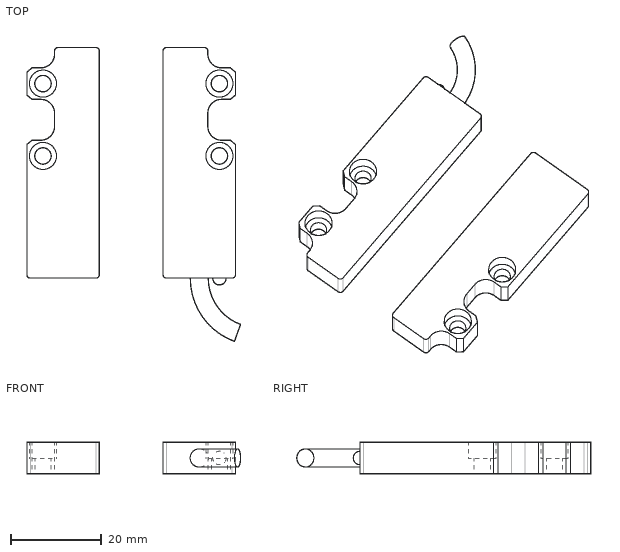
import cadquery as cq
import math

overall_length = 65.0
block_width = 16.05
block_height = 7.0
block_gap = 14.05
corner_radius = 0.8

neck_inset = 6.1
tab_length = 7.0
tab_pitch = 16.0
end_notch_length = 4.5
notch_radius = 3.0
tab_chamfer_x = 1.2
tab_chamfer_y = 1.0

hole_inset = 3.6
hole_diameter = 3.6
counterbore_diameter = 6.0
counterbore_depth = 3.6

cable_diameter = 4.0
cable_bend_radius = 12.9
cable_bend_angle = 70.0
dome_radius = 1.5

bend = math.radians(cable_bend_angle)
cable_reach = (cable_bend_radius + cable_diameter / 2) * math.sin(bend)
block_length = overall_length - cable_reach
tab_1_top = block_length - end_notch_length
tab_1_bottom = tab_1_top - tab_length
tab_2_top = tab_1_top - tab_pitch
tab_1_middle = tab_1_top - tab_length / 2
hole_places = [(hole_inset, tab_1_middle - i * tab_pitch) for i in range(2)]
mid_height = block_height / 2
sensor_outer_side = 2 * block_width + block_gap


def round_upright_edges(block, places, radius):
    """Round the upright edges that stand at the given XY places."""
    for x, y in places:
        edge = cq.selectors.NearestToPointSelector((x, y, mid_height))
        block = block.edges("|Z").edges(edge).fillet(radius)
    return block


def make_block():
    """Notched block with its mounting side at X = 0."""
    body_corners = [
        (0, 0),
        (block_width, 0),
        (block_width, block_length),
        (neck_inset, block_length),
    ]
    notch_corners = [(neck_inset, y) for y in (tab_1_top, tab_1_bottom, tab_2_top)]
    outline = [
        *body_corners,
        notch_corners[0],
        (tab_chamfer_x, tab_1_top),
        (0, tab_1_top - tab_chamfer_y),
        (0, tab_1_bottom + tab_chamfer_y),
        (tab_chamfer_x, tab_1_bottom),
        notch_corners[1],
        notch_corners[2],
        (tab_chamfer_x, tab_2_top),
        (0, tab_2_top - tab_chamfer_y),
    ]
    block = cq.Workplane("XY").polyline(outline).close().extrude(block_height)
    block = round_upright_edges(block, notch_corners, notch_radius)
    block = round_upright_edges(block, body_corners, corner_radius)
    return (
        block.faces(">Z")
        .workplane(origin=(0, 0, block_height))
        .pushPoints(hole_places)
        .cboreHole(hole_diameter, counterbore_diameter, counterbore_depth)
    )


def make_cable():
    """Cable that leaves the middle of the sensor's end face and bends toward +X."""
    cable_x = sensor_outer_side - block_width / 2
    return (
        cq.Workplane("XZ", origin=(cable_x, 0, mid_height))
        .circle(cable_diameter / 2)
        .revolve(cable_bend_angle, (cable_bend_radius, 0), (cable_bend_radius, 1))
    )


def make_dome():
    """Indicator dome, a ball half sunk into the sensor's end face."""
    dome_x = sensor_outer_side - hole_inset
    return cq.Workplane("XY").sphere(dome_radius).translate((dome_x, 0, mid_height))


def make_sensor():
    """Mirrored block with cable and dome, mounting side toward +X."""
    block = make_block().mirror("YZ").translate((sensor_outer_side, 0, 0))
    return block.union(make_cable()).union(make_dome())


actuator = make_block()
sensor = make_sensor()
result = cq.Compound.makeCompound([actuator.val(), *sensor.vals()])